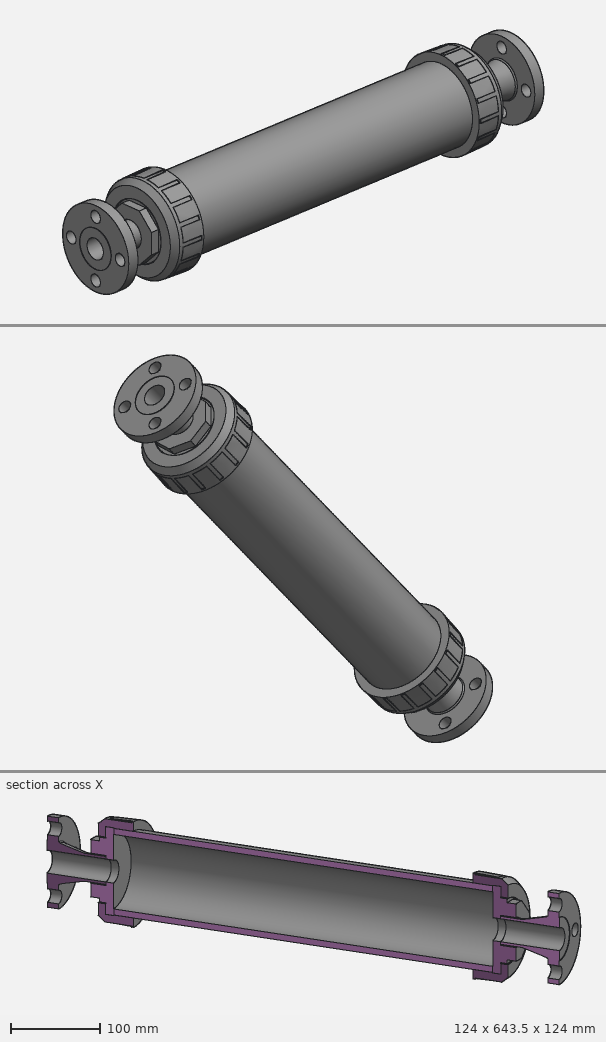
import cadquery as cq

OVERALL_LENGTH = 643.5
BORE_DIAMETER = 26.5

TUBE_DIAMETER = 102.5
TUBE_BORE = 87.0

NUT_INNER_END = 213.0
NUT_OUTER_END = 257.5
NUT_DIAMETER = 121.5
NUT_CHAMFER_RADIAL = 6.5
NUT_CHAMFER_AXIAL = 8.5
NUT_OPENING = 78.0
NUT_LIP_THICKNESS = 9.5
NUT_BAND_LENGTH = 13.5
GRIP_START_DIAMETER = 122.0
RIM_DIAMETER = 124.0
RIM_LENGTH = 2.5
GROOVE_COUNT = 16
GROOVE_WIDTH = 5.0
GROOVE_CUTTER_DEPTH = 13.0

OCTAGON_OUTER_END = 267.0
OCTAGON_ACROSS_FLATS = 67.5
COLLAR_DIAMETER = 76.5
COLLAR_RECESS = 1.0
SHOULDER_THICKNESS = 9.5
SOCKET_DIAMETER = 35.0

NECK_DIAMETER = 33.5
NECK_END = 275.0
CONE_DIAMETER = 48.0
FLARE_LENGTH = 2.0
FLANGE_DIAMETER = 107.5
FLANGE_THICKNESS = 14.0
RAISED_FACE_DIAMETER = 51.0
RAISED_FACE_HEIGHT = 0.5
BOLT_HOLE_DIAMETER = 15.5
BOLT_CIRCLE_DIAMETER = 79.0
BOLT_COUNT = 4

HALF_LENGTH = OVERALL_LENGTH / 2
FLANGE_OUTER_FACE = HALF_LENGTH - RAISED_FACE_HEIGHT
FLANGE_INNER_FACE = FLANGE_OUTER_FACE - FLANGE_THICKNESS
GRIP_END = NUT_OUTER_END - NUT_BAND_LENGTH
LIP_INNER_FACE = NUT_OUTER_END - NUT_LIP_THICKNESS
COLLAR_END = NUT_OUTER_END - COLLAR_RECESS
TUBE_END = LIP_INNER_FACE - SHOULDER_THICKNESS


def across_axis(station):
    """Workplane square to the Y axis, facing +Y."""
    return cq.Workplane(cq.Plane(origin=(0, station, 0), xDir=(1, 0, 0), normal=(0, 1, 0)))


def cylinder(diameter, start, end):
    """Solid cylinder on the Y axis between two stations."""
    return across_axis(start).circle(diameter / 2).extrude(end - start)


def revolved(profile):
    """Solid turned about the Y axis from a closed (radius, station) profile."""
    return cq.Workplane("XY").polyline(profile).close().revolve(360, (0, 0, 0), (0, 1, 0))


def make_tube():
    outside = cylinder(TUBE_DIAMETER, -TUBE_END, TUBE_END)
    return outside.cut(cylinder(TUBE_BORE, -TUBE_END, TUBE_END))


def make_nut():
    radius = NUT_DIAMETER / 2
    nut = revolved([
        (TUBE_DIAMETER / 2, NUT_INNER_END),
        (RIM_DIAMETER / 2, NUT_INNER_END),
        (GRIP_START_DIAMETER / 2, GRIP_END),
        (radius, GRIP_END),
        (radius, NUT_OUTER_END - NUT_CHAMFER_AXIAL),
        (radius - NUT_CHAMFER_RADIAL, NUT_OUTER_END),
        (NUT_OPENING / 2, NUT_OUTER_END),
        (NUT_OPENING / 2, LIP_INNER_FACE),
        (TUBE_DIAMETER / 2, LIP_INNER_FACE),
    ])
    return nut.cut(make_grip_grooves())


def make_grip_grooves():
    """Cutters for the grooves, whose floors continue the cylinder of the plain band."""
    start = NUT_INNER_END + RIM_LENGTH
    length = GRIP_END - start
    bars = (
        across_axis(start)
        .polarArray(NUT_DIAMETER / 2, 0, 360, GROOVE_COUNT)
        .rect(GROOVE_CUTTER_DEPTH, GROOVE_WIDTH)
        .extrude(length)
    )
    return bars.cut(cylinder(NUT_DIAMETER, start, GRIP_END))


def make_end_piece():
    """Plug held by the nut, with an octagon outside and a socket for the spigot neck."""
    turned = revolved([
        (0, TUBE_END),
        (TUBE_DIAMETER / 2, TUBE_END),
        (TUBE_DIAMETER / 2, LIP_INNER_FACE),
        (COLLAR_DIAMETER / 2, LIP_INNER_FACE),
        (COLLAR_DIAMETER / 2, COLLAR_END),
        (0, COLLAR_END),
    ])
    octagon = (
        across_axis(COLLAR_END)
        .polygon(8, OCTAGON_ACROSS_FLATS, circumscribed=True)
        .extrude(OCTAGON_OUTER_END - COLLAR_END)
    )
    return (
        turned.union(octagon)
        .cut(cylinder(SOCKET_DIAMETER, LIP_INNER_FACE, OCTAGON_OUTER_END))
        .cut(cylinder(BORE_DIAMETER, TUBE_END, LIP_INNER_FACE))
    )


def make_flanged_spigot():
    """Neck, cone and bolted flange in one piece, seated on the floor of the socket."""
    turned = revolved([
        (BORE_DIAMETER / 2, LIP_INNER_FACE),
        (NECK_DIAMETER / 2, LIP_INNER_FACE),
        (NECK_DIAMETER / 2, NECK_END),
        (CONE_DIAMETER / 2, FLANGE_INNER_FACE - FLARE_LENGTH),
        (RAISED_FACE_DIAMETER / 2, FLANGE_INNER_FACE),
        (FLANGE_DIAMETER / 2, FLANGE_INNER_FACE),
        (FLANGE_DIAMETER / 2, FLANGE_OUTER_FACE),
        (RAISED_FACE_DIAMETER / 2, FLANGE_OUTER_FACE),
        (RAISED_FACE_DIAMETER / 2, HALF_LENGTH),
        (BORE_DIAMETER / 2, HALF_LENGTH),
    ])
    bolt_holes = (
        across_axis(FLANGE_INNER_FACE)
        .polarArray(BOLT_CIRCLE_DIAMETER / 2, 0, 360, BOLT_COUNT)
        .circle(BOLT_HOLE_DIAMETER / 2)
        .extrude(FLANGE_THICKNESS)
    )
    return turned.cut(bolt_holes)


bodies = [make_tube().val()]
for make_body in (make_nut, make_end_piece, make_flanged_spigot):
    body = make_body()
    bodies += [body.val(), body.mirror("XZ").val()]

result = cq.Compound.makeCompound(bodies)